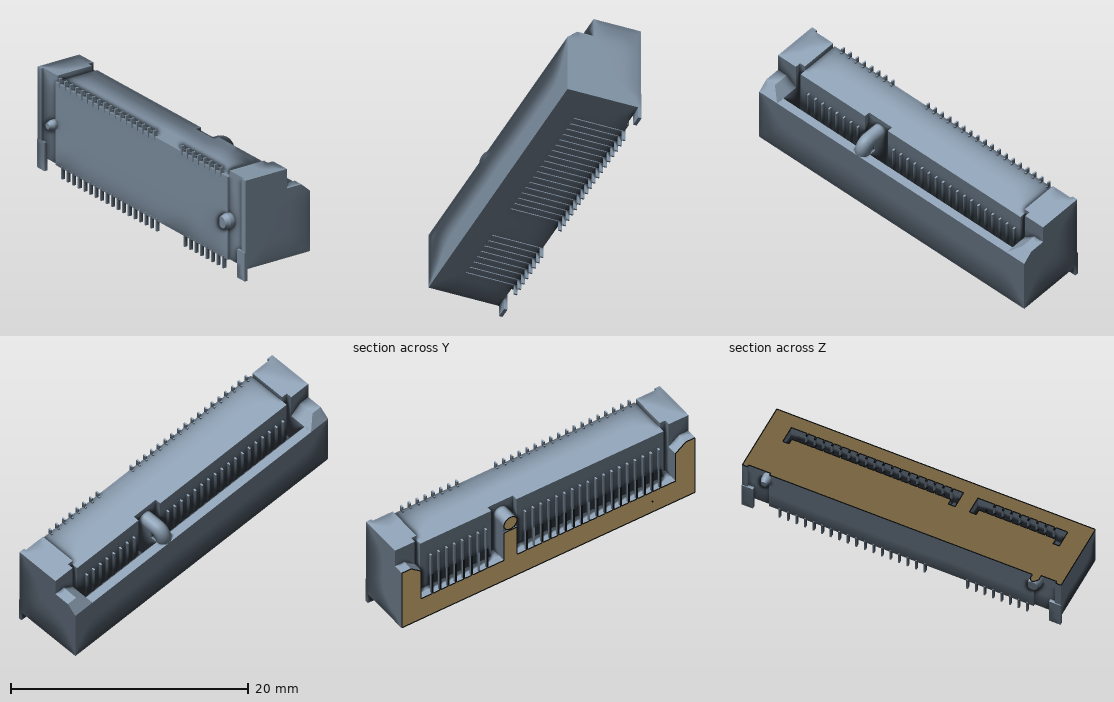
import cadquery as cq


length = 29.9
depth = 6.73
end_height = 8.15
body_height = 7.62
body_width = 24.8
body_depth = 4.35
lip_width = 0.55
front_recess = 0.2

arm_height = 6.37
wall_height = 5.55
arm_chamfer = 0.9

slot_width = 25.85
slot_front = 3.8
slot_back = 5.4
slot_floor = 2.4
lead_in_width = 0.55
lead_in_depth = 0.9
flare_width = 1.05

key_x = 3.85
key_radius = 0.7
key_bend = 0.78
key_notch_width = 2.57

pin_row_span = 23.2
pin_places = 30
pitch = pin_row_span / (pin_places - 1)
left_pins = 18
key_gap = 4
top_pins_x = -11.8
bottom_pins_x = top_pins_x + pitch / 2
pin_width = 0.15
pin_proud = 0.075
top_pin_back = 0.35
top_pin_bottom = 7.3
top_pin_step = 7.77
blade_back = 0.25
tail_back = 0.25
tail_top = 0.2
tail_bottom = -0.95
tail_run = 4.6
front_contact_back = 4.6
front_contact_top = 5.98
back_contact_front = 5.08
back_contact_back = 5.53
back_contact_top = 4.93
back_contact_tip = 4.2

tab_width = 1.08
tab_top = 1.52
tab_bottom = -1.08
tab_back = 0.25

peg_x = 12.55
peg_z = 3.68
peg_tip = 0.72
peg_root = 0.5
peg_shoulder = 0.27
small_peg_radius = 0.45
small_peg_tip_radius = 0.27
large_peg_radius = 0.7
large_peg_tip_radius = 0.5
large_peg_flat = 0.33


def block(x0, x1, y0, y1, z0, z1):
    return cq.Workplane("XY").box(x1 - x0, y1 - y0, z1 - z0, centered=False).translate((x0, y0, z0))


def middle_block(width, y0, y1, z0, z1):
    return block(-width / 2, width / 2, y0, y1, z0, z1)


def both_ends(shape):
    return shape.union(shape.mirror("YZ"))


def along_x(points, width):
    """Prism of a (y, z) outline, centred on x = 0."""
    return cq.Workplane("YZ").polyline(points).close().extrude(width / 2, both=True)


def housing():
    profile = along_x(
        [
            (0, 0),
            (depth, 0),
            (depth, wall_height),
            (depth - arm_chamfer, arm_height),
            (body_depth, arm_height),
            (body_depth, end_height),
            (0, end_height),
        ],
        length,
    )
    above_body = middle_block(body_width, 0, body_depth, body_height, end_height)
    recess = block(body_width / 2, length / 2 - lip_width, 0, front_recess, 0, end_height)
    return profile.cut(above_body).cut(both_ends(recess))


def card_opening():
    """Slot, its lead-in slopes and the space above the back wall, with the middle body left standing."""
    slot = middle_block(slot_width, slot_front, slot_back, slot_floor, end_height)
    lead_in = along_x(
        [
            (slot_back, wall_height - lead_in_depth),
            (slot_back + lead_in_width, wall_height),
            (slot_back, wall_height),
        ],
        slot_width,
    )
    flare = (
        cq.Workplane("XZ")
        .polyline(
            [
                (-slot_width / 2, wall_height),
                (slot_width / 2, wall_height),
                (slot_width / 2 + flare_width, arm_height),
                (-slot_width / 2 - flare_width, arm_height),
            ]
        )
        .close()
        .extrude(-(depth - body_depth))
        .translate((0, body_depth, 0))
    )
    body_back = middle_block(body_width, slot_front, body_depth, slot_floor, body_height)
    key_notch = middle_block(key_notch_width, slot_front, body_depth, slot_floor, body_height)
    body_back = body_back.cut(key_notch.translate((key_x, 0, 0)))
    return slot.union(lead_in).union(flare).cut(body_back)


def key_rib():
    """Wall across the slot with a half-round crest that bends down to the back wall."""
    bend_y = depth - key_bend - key_radius
    rise = wall_height + key_bend
    crest = (
        cq.Workplane("XZ")
        .center(0, rise)
        .circle(key_radius)
        .extrude(-(bend_y - slot_front))
        .translate((0, slot_front, 0))
    )
    elbow = (
        cq.Workplane("XZ")
        .center(0, rise)
        .circle(key_radius)
        .revolve(90, (0.3, -key_bend, 0), (-0.3, -key_bend, 0))
        .translate((0, bend_y, 0))
    )
    wall = middle_block(2 * key_radius, slot_front, bend_y, slot_floor, rise)
    back = middle_block(2 * key_radius, bend_y, bend_y + key_bend, slot_floor, wall_height)
    return crest.union(elbow).union(wall).union(back).translate((key_x, 0, 0))


def top_pin():
    foot = middle_block(pin_width, -pin_proud, top_pin_back, top_pin_bottom, top_pin_step)
    blade = middle_block(pin_width, -pin_proud, blade_back, top_pin_bottom, end_height)
    contact = middle_block(pin_width, slot_front, front_contact_back, slot_floor, front_contact_top)
    return [foot.union(blade), contact]


def bottom_pin():
    tail = middle_block(pin_width, -pin_proud, tail_back, tail_bottom, tail_top)
    run = middle_block(pin_width, 0, tail_run, -pin_proud, tail_top)
    contact = along_x(
        [
            (back_contact_front, slot_floor),
            (back_contact_back, slot_floor),
            (back_contact_back, back_contact_top),
            (back_contact_front, back_contact_tip),
        ],
        pin_width,
    )
    return [tail.union(run), contact]


def pin_row(pin_pieces, first_x):
    row = []
    for place in range(pin_places):
        if left_pins <= place < left_pins + key_gap:
            continue
        offset = cq.Vector(first_x + place * pitch, 0, 0)
        row += [piece.val().translate(offset) for piece in pin_pieces]
    return row


def solder_tabs():
    outer = length / 2
    return both_ends(block(outer - tab_width, outer, -pin_proud, tab_back, tab_bottom, tab_top))


def peg(radius, tip_radius):
    """Round peg pointing to -Y with a straight root and a tapered tip, rooted inside the housing."""
    outline = [
        (0, peg_root),
        (radius, peg_root),
        (radius, -peg_shoulder),
        (tip_radius, -peg_tip),
        (0, -peg_tip),
    ]
    return cq.Workplane("XY").polyline(outline).close().revolve(360, (0, 0, 0), (0, 1, 0))


def large_peg():
    flat_cut = block(
        -large_peg_radius, -large_peg_flat, -peg_tip, 0, -large_peg_radius, large_peg_radius
    )
    return peg(large_peg_radius, large_peg_tip_radius).cut(flat_cut)


result = housing().cut(card_opening()).union(key_rib())
result = result.union(solder_tabs())
result = result.union(peg(small_peg_radius, small_peg_tip_radius).translate((-peg_x, 0, peg_z)))
result = result.union(large_peg().translate((peg_x, 0, peg_z)))
pins = pin_row(top_pin(), top_pins_x) + pin_row(bottom_pin(), bottom_pins_x)
result = cq.Workplane(result.val().fuse(*pins))